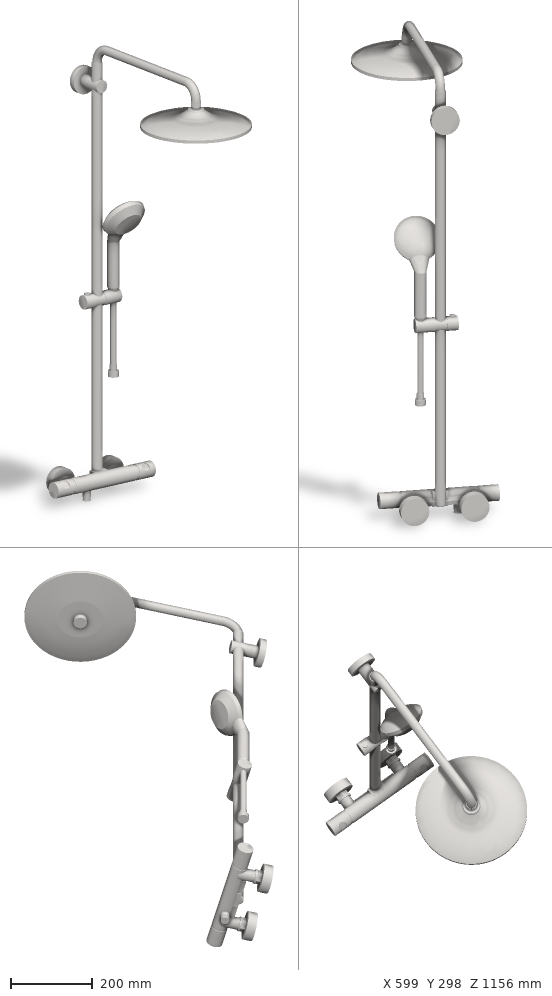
import cadquery as cq
import math


CUT_MARGIN = 12.0

RISER_DIAMETER = 27.0
RISER_BOTTOM = 59.0
ARM_DIAMETER = 23.0
ARM_TOP = 1156.0
ARM_REACH = 399.0
BEND_RADIUS = 39.0
ARM_AXIS_Z = ARM_TOP - ARM_DIAMETER / 2
BEND_START_Z = ARM_AXIS_Z - BEND_RADIUS
WALL_X = -64.0
BRACKET_Z = 1047.0
BRACKET_DIAMETER = 32.0
BRACKET_END_X = 20.0
BRACKET_FLANGE_THICKNESS = 16.0
ROSETTE_DIAMETER = 70.0

SWIVEL_DIAMETER = 25.0
SWIVEL_TOP = 1106.0
SWIVEL_BOTTOM = 1091.0
SWIVEL_GROOVE_DIAMETER = 23.0
SWIVEL_GROOVE_Z = 1098.0
SWIVEL_GROOVE_WIDTH = 2.0
NECK_DIAMETER = 18.0

HEAD_RADIUS = 136.0
HEAD_TOP = 1085.0
HEAD_CAP_RADIUS = 20.0
HEAD_SHOULDER_RADIUS = 22.0
HEAD_SHOULDER_Z = 1081.0
HEAD_FLARE_RADIUS = 64.0
HEAD_FLARE_Z = 1062.0
HEAD_SHOULDER_SLOPE = (1, -0.8)
HEAD_FLARE_SLOPE = (1, -0.1)
HEAD_EDGE_SLOPE = (1, -0.6)
HEAD_RIM_TOP = 1046.0
HEAD_RIM_BOTTOM = 1038.0
HEAD_FACE_RADIUS = 55.0
HEAD_FACE_Z = 1029.0
HEAD_NOZZLE_RADIUS = 16.0
HEAD_NOZZLE_BOTTOM = 1015.0

SLIDER_Z = 500.0
SLIDER_DIAMETER = 36.0
SLIDER_WAIST_DIAMETER = 34.0
SLIDER_HALF_WAIST = 15.0
SLIDER_HOLDER_END_Y = 64.0
SLIDER_KNOB_END_Y = -43.0
SLIDER_BUTTON_DIAMETER = 15.0
SLIDER_BUTTON_Y = -30.0
SLIDER_BUTTON_RISE = 3.0

HAND_Y = 50.0
HANDLE_RADIUS = 15.0
HANDLE_FOOT_RADIUS = 9.0
HANDLE_FOOT_Z = 508.0
HANDLE_BOTTOM = 523.0
HANDLE_TOP = 639.0
HOSE_DIAMETER = 15.0
HOSE_SLEEVE_DIAMETER = 18.0
HOSE_SLEEVE_TOP = 324.0
HOSE_NUT_DIAMETER = 27.0
HOSE_NUT_TOP = 309.0
HOSE_BOTTOM = 294.0
HAND_HEAD_X = 39.0
HAND_HEAD_Z = 711.0
HAND_HEAD_TILT = 35.0
HAND_HEAD_RADIUS = 58.0
HAND_RIM_RADIUS = 55.0
HAND_RIM_DEPTH = 10.0
HAND_BACK_DEPTH = 15.0
HAND_FACE_RADIUS = 36.0
HAND_FACE_DEPTH = 27.0
HAND_NECK_HALF_WIDTH = 38.0
HAND_NECK_HALF_DEPTH = 14.0
HAND_NECK_OFFSET = 12.0

MIXER_X = 21.0
MIXER_Z = 44.0
MIXER_DIAMETER = 40.0
MIXER_LENGTH = 298.0
MIXER_GROOVE_Y = 97.0
MIXER_GROOVE_WIDTH = 7.0
MIXER_GROOVE_DEPTH = 1.0
DIMPLE_DIAMETER = 21.0
DIMPLE_Y = 123.0
DIMPLE_DEPTH = 3.0
DIMPLE_ANGLE = 45.0

RAIL_LENGTH = 116.0
RAIL_X = -5.0
RAIL_BEVEL_X = 5.0
RAIL_TOP = 54.0
RAIL_EDGE_Z = 40.0
RAIL_BOTTOM = 30.0
BLOCK_X = -3.0
BLOCK_WIDTH = 40.0
BLOCK_BOTTOM = 28.0
BLOCK_TOP = 65.0
STUB_FILLET = 3.0

CONNECTION_Y = 75.0
CONNECTION_Z = 37.0
CONNECTION_DIAMETER = 30.0
MIXER_ROSETTE_X = -60.0
MIXER_ROSETTE_END_X = -37.0
HEX_ACROSS_FLATS = 30.0
HEX_END_X = -25.0
COLLAR_DIAMETER = 36.0
COLLAR_END_X = -21.0

OUTLET_Y = -47.0
OUTLET_DIAMETER = 21.0
OUTLET_GROOVE_DIAMETER = 18.0
OUTLET_GROOVE_BOTTOM = 2.0
OUTLET_GROOVE_TOP = 9.0


def rod_x(diameter, x_start, x_end, y, z):
    """Round bar parallel to X."""
    return (
        cq.Workplane("YZ", origin=(x_start, y, z))
        .circle(diameter / 2)
        .extrude(x_end - x_start)
    )


def rod_y(diameter, y_start, y_end, x, z):
    """Round bar parallel to Y, drawn from the larger Y to the smaller."""
    return (
        cq.Workplane("XZ", origin=(x, y_start, z))
        .circle(diameter / 2)
        .extrude(y_start - y_end)
    )


def rod_z(diameter, z_start, z_end, x, y):
    """Round bar parallel to Z."""
    return (
        cq.Workplane("XY", origin=(x, y, z_start))
        .circle(diameter / 2)
        .extrude(z_end - z_start)
    )


def ring_z(outer, inner, z_start, z_end, x, y):
    """Ring around a vertical bar, used to cut grooves."""
    return rod_z(outer, z_start, z_end, x, y).cut(rod_z(inner, z_start, z_end, x, y))


def make_arm():
    """Overhead arm: two quarter bends joined by a straight length."""
    diagonal = BEND_RADIUS * math.sqrt(0.5)
    path = (
        cq.Workplane("XZ")
        .moveTo(0, BEND_START_Z)
        .threePointArc(
            (BEND_RADIUS - diagonal, BEND_START_Z + diagonal),
            (BEND_RADIUS, ARM_AXIS_Z),
        )
        .lineTo(ARM_REACH - BEND_RADIUS, ARM_AXIS_Z)
        .threePointArc(
            (ARM_REACH - BEND_RADIUS + diagonal, BEND_START_Z + diagonal),
            (ARM_REACH, BEND_START_Z),
        )
    )
    return cq.Workplane("XY", origin=(0, 0, BEND_START_Z)).circle(ARM_DIAMETER / 2).sweep(path)


def make_swivel():
    """Grooved sleeve and narrow neck below the end of the arm."""
    groove = ring_z(
        SWIVEL_DIAMETER + CUT_MARGIN,
        SWIVEL_GROOVE_DIAMETER,
        SWIVEL_GROOVE_Z,
        SWIVEL_GROOVE_Z + SWIVEL_GROOVE_WIDTH,
        ARM_REACH,
        0,
    )
    sleeve = rod_z(SWIVEL_DIAMETER, SWIVEL_BOTTOM, SWIVEL_TOP, ARM_REACH, 0).cut(groove)
    neck = rod_z(NECK_DIAMETER, HEAD_TOP, SWIVEL_BOTTOM, ARM_REACH, 0)
    return sleeve.union(neck)


def make_riser():
    """Riser pipe with its wall bracket, overhead arm and swivel."""
    pipe = rod_z(RISER_DIAMETER, RISER_BOTTOM, BEND_START_Z, 0, 0)
    flange_end = WALL_X + BRACKET_FLANGE_THICKNESS
    flange = rod_x(ROSETTE_DIAMETER, WALL_X, flange_end, 0, BRACKET_Z)
    bracket = rod_x(BRACKET_DIAMETER, flange_end, BRACKET_END_X, 0, BRACKET_Z)
    return pipe.union(flange).union(bracket).union(make_arm()).union(make_swivel())


def make_overhead_shower():
    """Flat domed shower head with a flared cap and a central nozzle."""
    return (
        cq.Workplane("XZ", origin=(ARM_REACH, 0, 0))
        .moveTo(0, HEAD_TOP)
        .lineTo(HEAD_CAP_RADIUS, HEAD_TOP)
        .lineTo(HEAD_SHOULDER_RADIUS, HEAD_SHOULDER_Z)
        .spline(
            [(HEAD_FLARE_RADIUS, HEAD_FLARE_Z)],
            tangents=[HEAD_SHOULDER_SLOPE, HEAD_FLARE_SLOPE],
            includeCurrent=True,
        )
        .spline(
            [(HEAD_RADIUS, HEAD_RIM_TOP)],
            tangents=[HEAD_FLARE_SLOPE, HEAD_EDGE_SLOPE],
            includeCurrent=True,
        )
        .lineTo(HEAD_RADIUS, HEAD_RIM_BOTTOM)
        .lineTo(HEAD_FACE_RADIUS, HEAD_FACE_Z)
        .lineTo(HEAD_NOZZLE_RADIUS, HEAD_FACE_Z)
        .lineTo(HEAD_NOZZLE_RADIUS, HEAD_NOZZLE_BOTTOM)
        .lineTo(0, HEAD_NOZZLE_BOTTOM)
        .close()
        .revolve(360, (0, 0, 0), (0, 1, 0))
    )


def make_hand_stem():
    """Hose end and tapered handle foot: the part that passes through the slider."""
    hose = rod_z(HOSE_DIAMETER, HOSE_BOTTOM, HANDLE_BOTTOM, 0, HAND_Y)
    foot = (
        cq.Workplane("XY", origin=(0, HAND_Y, HANDLE_FOOT_Z))
        .circle(HANDLE_FOOT_RADIUS)
        .workplane(offset=HANDLE_BOTTOM - HANDLE_FOOT_Z)
        .circle(HANDLE_RADIUS)
        .loft()
    )
    return hose.union(foot)


def hand_head_plane():
    """Rim plane of the hand shower; its normal is the spray direction."""
    tilt = math.radians(HAND_HEAD_TILT)
    return cq.Plane(
        origin=(HAND_HEAD_X, HAND_Y, HAND_HEAD_Z),
        xDir=(math.sin(tilt), 0, math.cos(tilt)),
        normal=(math.cos(tilt), 0, -math.sin(tilt)),
    )


def make_hand_head():
    """Lens-shaped spray head revolved about the spray direction."""
    rim_plane = hand_head_plane()
    profile_plane = cq.Plane(
        origin=rim_plane.origin,
        xDir=rim_plane.xDir,
        normal=rim_plane.xDir.cross(rim_plane.zDir),
    )
    return (
        cq.Workplane(profile_plane)
        .moveTo(0, -HAND_BACK_DEPTH)
        .spline(
            [(HAND_HEAD_RADIUS, 0)],
            tangents=[(1, 0), (1, 1)],
            includeCurrent=True,
        )
        .lineTo(HAND_RIM_RADIUS, HAND_RIM_DEPTH)
        .lineTo(HAND_FACE_RADIUS, HAND_FACE_DEPTH)
        .lineTo(0, HAND_FACE_DEPTH)
        .close()
        .revolve(360, (0, 0, 0), (0, 1, 0))
    )


def make_handle():
    """Round handle with a neck that flattens and widens into the spray head."""
    rim_plane = hand_head_plane()
    neck_end_plane = cq.Plane(
        origin=rim_plane.toWorldCoords((-HAND_NECK_OFFSET, 0, 0)),
        xDir=rim_plane.zDir,
        normal=rim_plane.xDir,
    )
    neck_start = cq.Workplane("XY", origin=(0, HAND_Y, HANDLE_TOP)).circle(HANDLE_RADIUS)
    neck_end = cq.Workplane(neck_end_plane).ellipse(HAND_NECK_HALF_DEPTH, HAND_NECK_HALF_WIDTH)
    neck = cq.Solid.makeLoft([neck_start.wire().val(), neck_end.wire().val()])
    handle = rod_z(2 * HANDLE_RADIUS, HANDLE_BOTTOM, HANDLE_TOP, 0, HAND_Y)
    return handle.union(cq.Workplane(neck))


def make_hand_shower():
    """Hand shower with the end of its hose and the hose nut."""
    sleeve = rod_z(HOSE_SLEEVE_DIAMETER, HOSE_NUT_TOP, HOSE_SLEEVE_TOP, 0, HAND_Y)
    nut = rod_z(HOSE_NUT_DIAMETER, HOSE_BOTTOM, HOSE_NUT_TOP, 0, HAND_Y)
    shower = make_hand_stem().union(sleeve).union(nut)
    return shower.union(make_handle()).union(make_hand_head())


def make_slider():
    """Clamp on the riser: holder, waist and knob with a round button."""
    holder = rod_y(SLIDER_DIAMETER, SLIDER_HOLDER_END_Y, SLIDER_HALF_WAIST, 0, SLIDER_Z)
    waist = rod_y(SLIDER_WAIST_DIAMETER, SLIDER_HALF_WAIST, -SLIDER_HALF_WAIST, 0, SLIDER_Z)
    knob = rod_y(SLIDER_DIAMETER, -SLIDER_HALF_WAIST, SLIDER_KNOB_END_Y, 0, SLIDER_Z)
    button_top = SLIDER_Z + SLIDER_DIAMETER / 2 + SLIDER_BUTTON_RISE
    button = rod_z(SLIDER_BUTTON_DIAMETER, SLIDER_Z, button_top, 0, SLIDER_BUTTON_Y)
    riser_hole = rod_z(RISER_DIAMETER, RISER_BOTTOM, BEND_START_Z, 0, 0)
    slider = holder.union(waist).union(knob).union(button)
    return slider.cut(riser_hole).cut(make_hand_stem())


def make_mixer_barrel():
    """Mixer barrel with a groove and a round dimple at each end grip."""
    barrel = rod_y(MIXER_DIAMETER, MIXER_LENGTH / 2, -MIXER_LENGTH / 2, MIXER_X, MIXER_Z)
    core_diameter = MIXER_DIAMETER - 2 * MIXER_GROOVE_DEPTH
    angle = math.radians(DIMPLE_ANGLE)
    direction = cq.Vector(math.cos(angle), 0, math.sin(angle))
    for side in (-1, 1):
        start = side * MIXER_GROOVE_Y + MIXER_GROOVE_WIDTH / 2
        end = start - MIXER_GROOVE_WIDTH
        groove = rod_y(MIXER_DIAMETER + CUT_MARGIN, start, end, MIXER_X, MIXER_Z).cut(
            rod_y(core_diameter, start, end, MIXER_X, MIXER_Z)
        )
        axis_point = cq.Vector(MIXER_X, side * DIMPLE_Y, MIXER_Z)
        floor = axis_point + direction.multiply(MIXER_DIAMETER / 2 - DIMPLE_DEPTH)
        dimple = cq.Solid.makeCylinder(DIMPLE_DIAMETER / 2, 2 * DIMPLE_DEPTH, floor, direction)
        barrel = barrel.cut(groove).cut(cq.Workplane(dimple))
    return barrel


def make_rail():
    """Bevelled rail along the wall side of the mixer barrel."""
    return (
        cq.Workplane("XZ", origin=(0, RAIL_LENGTH / 2, 0))
        .polyline(
            [
                (MIXER_X, RAIL_TOP),
                (RAIL_BEVEL_X, RAIL_TOP),
                (RAIL_X, RAIL_EDGE_Z),
                (RAIL_X, RAIL_BOTTOM),
                (MIXER_X, RAIL_BOTTOM),
            ]
        )
        .close()
        .extrude(RAIL_LENGTH)
    )


def make_riser_seat():
    """Block on the mixer and the short round stub that the riser stands on."""
    block = cq.Workplane("XY").box(
        MIXER_X - BLOCK_X, BLOCK_WIDTH, BLOCK_TOP - BLOCK_BOTTOM, centered=(False, True, False)
    ).translate((BLOCK_X, 0, BLOCK_BOTTOM))
    stub = rod_z(RISER_DIAMETER, BLOCK_BOTTOM, RISER_BOTTOM, 0, 0)
    stub = stub.faces("<Z").fillet(STUB_FILLET)
    return block.union(stub)


def make_connection(y):
    """Wall rosette, hexagon nut, collar and pipe that carry the mixer."""
    rosette = rod_x(ROSETTE_DIAMETER, MIXER_ROSETTE_X, MIXER_ROSETTE_END_X, y, CONNECTION_Z)
    across_corners = HEX_ACROSS_FLATS / math.cos(math.pi / 6)
    nut = (
        cq.Workplane("YZ", origin=(MIXER_ROSETTE_END_X, y, CONNECTION_Z))
        .transformed(rotate=(0, 0, 90))
        .polygon(6, across_corners)
        .extrude(HEX_END_X - MIXER_ROSETTE_END_X)
    )
    collar = rod_x(COLLAR_DIAMETER, HEX_END_X, COLLAR_END_X, y, CONNECTION_Z)
    pipe = rod_x(CONNECTION_DIAMETER, COLLAR_END_X, MIXER_X, y, CONNECTION_Z)
    return rosette.union(nut).union(collar).union(pipe)


def make_outlet():
    """Grooved hose outlet under the mixer."""
    outlet = rod_z(OUTLET_DIAMETER, 0, MIXER_Z, MIXER_X, OUTLET_Y)
    groove = ring_z(
        OUTLET_DIAMETER + CUT_MARGIN,
        OUTLET_GROOVE_DIAMETER,
        OUTLET_GROOVE_BOTTOM,
        OUTLET_GROOVE_TOP,
        MIXER_X,
        OUTLET_Y,
    )
    return outlet.cut(groove)


def make_mixer():
    """Thermostatic mixer with its wall connections, riser seat and outlet."""
    mixer = make_mixer_barrel().union(make_rail()).union(make_riser_seat()).union(make_outlet())
    for side in (-1, 1):
        mixer = mixer.union(make_connection(side * CONNECTION_Y))
    riser_socket = rod_z(RISER_DIAMETER, RISER_BOTTOM, BEND_START_Z, 0, 0)
    return mixer.cut(riser_socket)


riser = make_riser()
overhead_shower = make_overhead_shower()
hand_shower = make_hand_shower()
slider = make_slider()
mixer = make_mixer()

result = cq.Compound.makeCompound(
    [riser.val(), overhead_shower.val(), hand_shower.val(), slider.val(), mixer.val()]
)